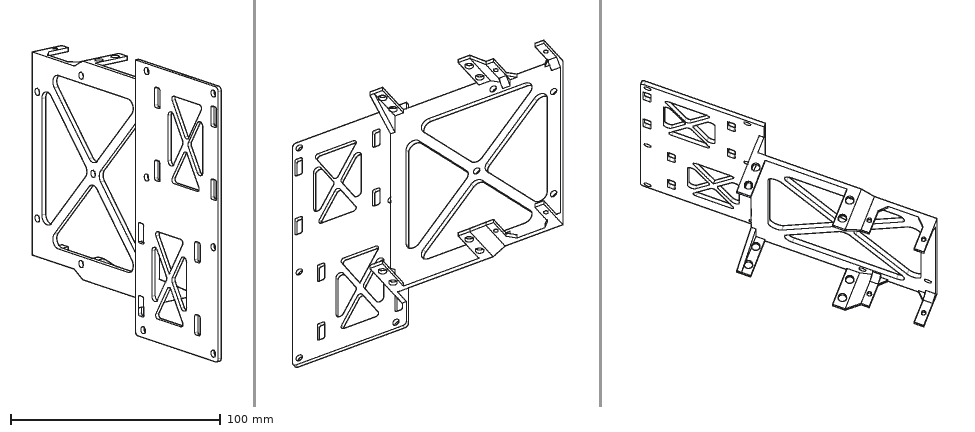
import cadquery as cq
import math


length = 154.7
depth = 32.5
plate_height = 136.5

plate_thickness = 2.0
plate_left = 91.5
plate_corner_radius = 2.0

frame_front = 10.4
sheet_thickness = 2.5
frame_back = frame_front + sheet_thickness
wall_right = plate_left + sheet_thickness
tall_half_height = 54.3
step_height = 3.9
low_half_height = tall_half_height - step_height
step_start = 32.0
step_end = 38.7

tab_thickness = 2.0
low_tab_back = depth - step_height
outer_tab_width = 5.0
middle_tab_left = 27.8
middle_tab_right = 45.2
wall_tab_width = 7.1
wall_tab_left = wall_right - wall_tab_width
gusset_size = 3.7
wall_gusset_drop = 10.0

mount_hole_diameter = 3.4
small_tab_hole_diameter = 2.2
large_tab_hole_diameter = 4.0
small_tab_hole_y = 22.6
small_tab_holes_x = (2.3, 30.0)
large_tab_holes_y = (17.6, 27.5)
large_tab_holes_x = (41.9, 89.9)
hole_edge_gap = 3.7

frame_window_x = 46.4
frame_window_half_width = 39.0
frame_window_half_height = 43.0
frame_bar_width = 5.0
frame_window_radius = 4.0
frame_side_hole_x = 3.9
frame_side_hole_z = 31.4
frame_edge_hole_x = 37.3
frame_edge_hole_z = low_half_height - hole_edge_gap

plate_window_half_width = 13.1
plate_window_half_height = 21.7
plate_bar_width = 2.8
plate_window_radius = 1.5
plate_side_window_radius = 2.2
upper_pattern_x = 129.8
lower_pattern_x = 117.4
pattern_z = 35.0
upper_window_widening = 1.9
slot_width = 4.0
slot_height = 10.0
slot_corner_radius = 1.0
slot_offset_x = 21.5
slot_offset_z = 18.1
upper_left_hole_x = 100.0
middle_hole_z = 11.8
lower_left_hole_x = 97.5

plate_half_height = plate_height / 2

frame_top_edge = [
    (0, low_half_height),
    (step_start, low_half_height),
    (step_end, tall_half_height),
    (wall_right, tall_half_height),
]


def sheet(outline, front, thickness):
    """Flat sheet with the given (x, z) outline, reaching back from `front`."""
    return cq.Workplane("XZ", origin=(0, front, 0)).polyline(outline).close().extrude(-thickness)


def box(x_range, y_range, z_range):
    low, high = zip(x_range, y_range, z_range)
    size = [b - a for a, b in zip(low, high)]
    return cq.Workplane("XY").box(*size, centered=False).translate(low)


def round_holes(points, diameter):
    """Drills along Y at the given (x, z) points, through the whole depth."""
    return cq.Workplane("XZ").pushPoints(points).circle(diameter / 2).extrude(-depth)


def with_mirror(body):
    return body.union(body.mirror("XY"))


def triangle(apex, first, second, radius, sharp_apex=False):
    """Triangular cutter along Y with rounded corners."""
    body = sheet([apex, first, second], 0, depth)
    edges = body.edges("|Y")
    if sharp_apex:
        edges = edges.filter(lambda edge: abs(edge.Center().z - apex[1]) > radius)
    return edges.fillet(radius)


def brace_cutter(
    center, half_width, half_height, bar_width, radius, side_radius, top_widening=0.0, sharp_top=False
):
    """Four triangles which leave two diagonal bars across a rectangle."""
    x, z = center
    slope = half_height / half_width
    bar_rise = bar_width / 2 * math.hypot(1, slope)
    bar_run = bar_rise / slope
    base_half_width = half_width - bar_run
    side_half_height = half_height - bar_rise

    bottom = triangle(
        (x, z - bar_rise),
        (x - base_half_width, z - half_height),
        (x + base_half_width, z - half_height),
        radius,
    )
    top = triangle(
        (x + top_widening / 2, z + bar_rise - top_widening / 2 * slope),
        (x - base_half_width, z + half_height),
        (x + base_half_width + top_widening, z + half_height),
        radius,
        sharp_top,
    )
    cutter = bottom.union(top)
    for side in (-1, 1):
        cutter = cutter.union(
            triangle(
                (x + side * bar_run, z),
                (x + side * half_width, z - side_half_height),
                (x + side * half_width, z + side_half_height),
                side_radius,
            )
        )
    return cutter


def slot_cutter(center):
    """Four strap slots at the corners of a rectangle around the center."""
    x, z = center
    return (
        cq.Workplane("XZ", origin=(x, 0, z))
        .rect(2 * slot_offset_x, 2 * slot_offset_z, forConstruction=True)
        .vertices()
        .rect(slot_width, slot_height)
        .extrude(-plate_thickness)
        .edges("|Y")
        .fillet(slot_corner_radius)
    )


def make_plate():
    plate = box((plate_left, length), (0, plate_thickness), (-plate_half_height, plate_half_height))
    plate = plate.edges("|Y and (>X or <Z)").fillet(plate_corner_radius)
    hole_x = length - hole_edge_gap
    hole_z = plate_half_height - hole_edge_gap
    holes = [
        (upper_left_hole_x, hole_z),
        (hole_x, hole_z),
        (upper_left_hole_x, middle_hole_z),
        (hole_x, -middle_hole_z),
        (lower_left_hole_x, -hole_z),
        (hole_x, -hole_z),
    ]
    plate = plate.cut(round_holes(holes, mount_hole_diameter))

    upper = (upper_pattern_x, pattern_z)
    lower = (lower_pattern_x, -pattern_z)
    window = (
        plate_window_half_width,
        plate_window_half_height,
        plate_bar_width,
        plate_window_radius,
        plate_side_window_radius,
    )
    plate = plate.cut(brace_cutter(upper, *window, top_widening=upper_window_widening))
    plate = plate.cut(brace_cutter(lower, *window, sharp_top=True))
    return plate.cut(slot_cutter(upper)).cut(slot_cutter(lower))


def make_frame():
    lower_edge = [(x, -z) for x, z in reversed(frame_top_edge)]
    frame = sheet(frame_top_edge + lower_edge, frame_front, sheet_thickness)
    frame = frame.cut(
        brace_cutter(
            (frame_window_x, 0),
            frame_window_half_width,
            frame_window_half_height,
            frame_bar_width,
            frame_window_radius,
            frame_window_radius,
        )
    )
    holes = [(frame_window_x, 0)]
    for side in (-1, 1):
        holes.append((frame_side_hole_x, side * frame_side_hole_z))
        holes.append((frame_edge_hole_x, side * frame_edge_hole_z))
    return frame.cut(round_holes(holes, mount_hole_diameter))


def make_wall():
    """Wall which joins the plate to the frame."""
    return box((plate_left, wall_right), (0, frame_back), (-tall_half_height, tall_half_height))


def make_tabs():
    """Upper tabs: one bent strip along the frame edge, trimmed to the tab shapes."""
    strip_bottom = [(x, z - tab_thickness) for x, z in reversed(frame_top_edge)]
    strip = sheet(frame_top_edge + strip_bottom, frame_front, depth - frame_front)
    gusset_back = frame_back + gusset_size
    tab_outline = [
        (0, frame_front),
        (0, low_tab_back),
        (outer_tab_width, low_tab_back),
        (outer_tab_width, gusset_back),
        (outer_tab_width + gusset_size, frame_back),
        (middle_tab_left - gusset_size, frame_back),
        (middle_tab_left, gusset_back),
        (middle_tab_left, low_tab_back),
        (step_start, low_tab_back),
        (step_end, depth),
        (middle_tab_right, depth),
        (middle_tab_right, frame_back),
        (wall_tab_left, frame_back),
        (wall_tab_left, depth),
        (wall_right, depth),
        (wall_right, frame_front),
    ]
    tabs = strip.intersect(cq.Workplane("XY").polyline(tab_outline).close().extrude(tall_half_height))

    small_holes = [(x, small_tab_hole_y) for x in small_tab_holes_x]
    large_holes = [(x, y) for x in large_tab_holes_x for y in large_tab_holes_y]
    for points, diameter in (
        (small_holes, small_tab_hole_diameter),
        (large_holes, large_tab_hole_diameter),
    ):
        drills = cq.Workplane("XY").pushPoints(points).circle(diameter / 2).extrude(tall_half_height)
        tabs = tabs.cut(drills)
    return tabs


def gusset(left, width, underside, reach, drop):
    """Triangular web between the frame back and the underside of a tab."""
    outline = [
        (frame_back, underside),
        (frame_back + reach, underside),
        (frame_back, underside - drop),
    ]
    return cq.Workplane("YZ", origin=(left, 0, 0)).polyline(outline).close().extrude(width)


def make_gussets():
    low_underside = low_half_height - tab_thickness
    tall_underside = tall_half_height - tab_thickness
    gussets = gusset(plate_left, sheet_thickness, tall_underside, depth - frame_back, wall_gusset_drop)
    low_tabs = (
        (0, outer_tab_width),
        (middle_tab_left, step_start - middle_tab_left),
    )
    for left, width in low_tabs:
        gussets = gussets.union(gusset(left, width, low_underside, gusset_size, gusset_size))
    return gussets


result = (
    make_plate()
    .union(make_wall())
    .union(make_frame())
    .union(with_mirror(make_tabs()))
    .union(with_mirror(make_gussets()))
)